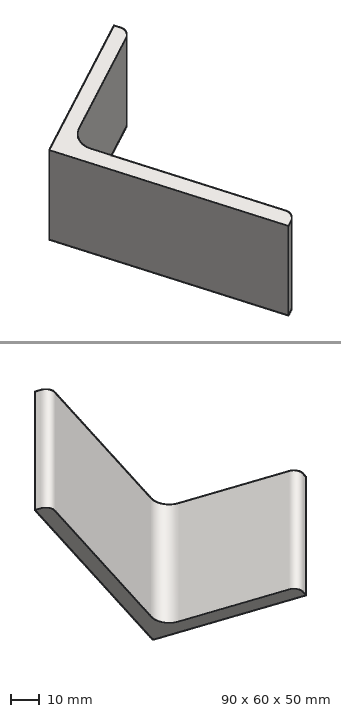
import cadquery as cq

long_leg = 90.0
short_leg = 60.0
height = 50.0
thickness = 6.0
root_radius = 7.0
toe_radius = 3.5


def rounded_edge(body, x, y, radius):
    """Fillet the vertical edge that passes through (x, y)."""
    edge = cq.selectors.NearestToPointSelector((x, y, height / 2))
    return body.edges("|Z").edges(edge).fillet(radius)


result = (
    cq.Workplane("XY")
    .polyline([
        (0, 0),
        (long_leg, 0),
        (long_leg, thickness),
        (thickness, thickness),
        (thickness, short_leg),
        (0, short_leg),
    ])
    .close()
    .extrude(height)
)

result = rounded_edge(result, thickness, thickness, root_radius)
result = rounded_edge(result, long_leg, thickness, toe_radius)
result = rounded_edge(result, thickness, short_leg, toe_radius)